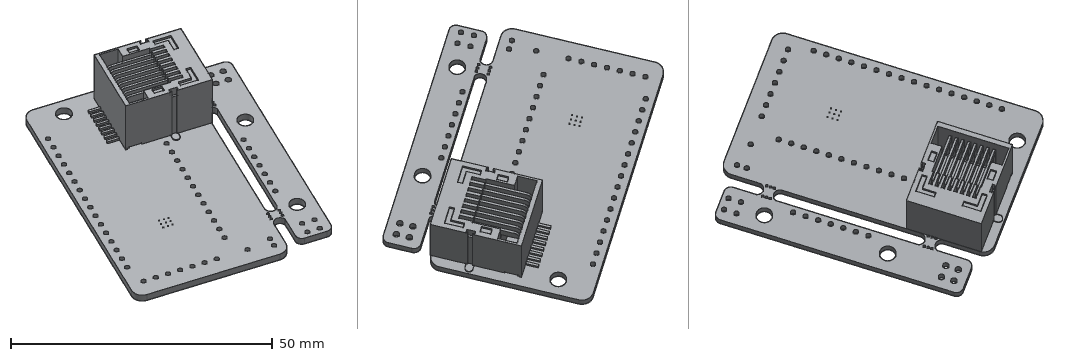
import cadquery as cq
import math

BOARD_LENGTH = 54.9
BOARD_WIDTH = 32.2
BOARD_THICKNESS = 1.6
BOARD_CORNER_RADIUS = 2.25

STRIP_LEFT = 2.6
STRIP_RIGHT = 52.75
STRIP_FRONT = 34.7
STRIP_BACK = 42.15
STRIP_CORNER_RADIUS = 1.35

TAB_CENTERS_X = (11.85, 44.65)
TAB_WAIST = 2.15
TAB_SIDE_RADIUS = 1.25
TAB_HOLE_DIAMETER = 0.5
TAB_HOLE_PITCH = 0.75
TAB_HOLES_PER_ROW = 3
TAB_HOLE_INSET = 0.05

MOUNT_HOLE_DIAMETER = 3.2
MOUNT_HOLES = [(18.7, 38.45), (43.75, 38.45), (3.35, 7.25)]
LARGE_PAD_DIAMETER = 1.2
PAD_DIAMETER = 1.0
VIA_DIAMETER = 0.2
VIA_PITCH = 1.0
VIAS_PER_SIDE = 3
VIA_GRID_CENTER = (38.3, 13.4)
STRIP_PADS_Y = (37.2, 39.8)
LEFT_STRIP_PADS_X = (4.85, 7.35)
RIGHT_STRIP_PADS_X = (48.9, 51.45)
STRIP_ROW_FIRST_X = 23.5
STRIP_ROW_LAST_X = 38.75
STRIP_ROW_Y = 36.0
ROW_LAST_X = 46.55
MIDDLE_ROW_FIRST_X = 18.6
MIDDLE_ROW_Y = 22.05
FRONT_ROW_FIRST_X = 8.4
FRONT_ROW_Y = 1.75
COLUMN_X = 51.3
COLUMN_FIRST_Y = 3.15
COLUMN_LAST_Y = 18.4
SINGLE_PAD = (COLUMN_X, 24.8)
CORNER_PADS = [(50.3, 29.9), (52.25, 29.9)]
STRIP_ROW_COUNT = 7
MIDDLE_ROW_COUNT = 12
FRONT_ROW_COUNT = 16
COLUMN_COUNT = 7

JACK_LENGTH_X = 15.2
JACK_LENGTH_Y = 18.1
JACK_CENTER_X = 9.5
JACK_FRONT = 14.15
JACK_TOP = 13.4
STANDOFF = 0.2
JACK_BOTTOM = BOARD_THICKNESS + STANDOFF

FRONT_FOOT_DEPTH = 0.4
FOOT_NOTCH_FRONT = 0.75
FOOT_NOTCH_BACK = 3.35

WELL_WIDTH = 14.4
WELL_FRONT = 1.0
WELL_BACK = 4.85
WELL_DEPTH = 10.45
RECESS_WIDTH = 10.05
RECESS_BACK = 10.5
RECESS_DEPTH = 3.3

POCKET_DEPTH = 0.5
POCKET_OUTER_X = 6.6
ANGLE_BACK = 15.6
ANGLE_LEG = 3.75
ANGLE_BAND = 1.0
BLOCK_WIDTH = 1.15
BLOCK_FRONT = 6.4
BLOCK_LENGTH = 2.1

CONTACT_COUNT = 8
CONTACT_SPAN = 8.9
CONTACT_WIDTH = 0.5
CONTACT_FOOT_HEIGHT = 0.5
CONTACT_LEG_THICKNESS = 0.2
CONTACT_BAR_HEIGHT = 1.65
CONTACT_BEND_RADIUS = 1.0
CONTACT_TOP_DROP = 1.0
CONTACT_FRONT = 1.25
CONTACT_BACK = 11.85
CONTACT_FOOT_REACH = 2.5
SLOT_WIDTH = 0.65
SLOT_BACK = 13.25

CLIP_CENTER = 10.2
CLIP_WIDTH = 1.7
CLIP_THICKNESS = 0.4
CLIP_TOP_DROP = 1.65
CLIP_PAD_REACH = 1.55
CLIP_PAD_WIDTH = 1.6
CLIP_LIP = 0.245
CLIP_CLEARANCE = 0.15
CLIP_MOUTH_WIDTH = 1.0


def evenly_spaced(first, last, count):
    step = (last - first) / (count - 1)
    return [first + i * step for i in range(count)]


def centered_row(center, pitch, count):
    half_span = pitch * (count - 1) / 2
    return evenly_spaced(center - half_span, center + half_span, count)


def grid(xs, ys):
    return [(x, y) for x in xs for y in ys]


def block(x0, x1, y0, y1, z0, z1):
    return cq.Workplane("XY").box(x1 - x0, y1 - y0, z1 - z0, centered=False).translate((x0, y0, z0))


def drills(points, diameter):
    return cq.Workplane("XY").pushPoints(points).circle(diameter / 2).extrude(BOARD_THICKNESS)


def make_tab(center_x):
    """Bridge with round concave sides that run tangent into the board edge."""
    gap = STRIP_FRONT - BOARD_WIDTH
    board_root = TAB_WAIST / 2 + TAB_SIDE_RADIUS
    center_to_strip = gap - TAB_SIDE_RADIUS
    strip_root = board_root - math.sqrt(TAB_SIDE_RADIUS**2 - center_to_strip**2)
    return (
        cq.Workplane("XY")
        .moveTo(-board_root, 0)
        .lineTo(board_root, 0)
        .radiusArc((strip_root, gap), TAB_SIDE_RADIUS)
        .lineTo(-strip_root, gap)
        .radiusArc((-board_root, 0), TAB_SIDE_RADIUS)
        .close()
        .extrude(BOARD_THICKNESS)
        .translate((center_x, BOARD_WIDTH, 0))
    )


def make_board():
    board = block(0, BOARD_LENGTH, 0, BOARD_WIDTH, 0, BOARD_THICKNESS)
    board = board.edges("|Z").fillet(BOARD_CORNER_RADIUS)
    strip = block(STRIP_LEFT, STRIP_RIGHT, STRIP_FRONT, STRIP_BACK, 0, BOARD_THICKNESS)
    board = board.union(strip.edges("|Z").fillet(STRIP_CORNER_RADIUS))
    for center_x in TAB_CENTERS_X:
        board = board.union(make_tab(center_x))

    tab_rows_y = (BOARD_WIDTH + TAB_HOLE_INSET, STRIP_FRONT - TAB_HOLE_INSET)
    for center_x in TAB_CENTERS_X:
        tab_holes = grid(centered_row(center_x, TAB_HOLE_PITCH, TAB_HOLES_PER_ROW), tab_rows_y)
        board = board.cut(drills(tab_holes, TAB_HOLE_DIAMETER))

    pads = grid(RIGHT_STRIP_PADS_X, STRIP_PADS_Y)
    pads += grid(evenly_spaced(STRIP_ROW_FIRST_X, STRIP_ROW_LAST_X, STRIP_ROW_COUNT), [STRIP_ROW_Y])
    pads += grid(evenly_spaced(MIDDLE_ROW_FIRST_X, ROW_LAST_X, MIDDLE_ROW_COUNT), [MIDDLE_ROW_Y])
    pads += grid(evenly_spaced(FRONT_ROW_FIRST_X, ROW_LAST_X, FRONT_ROW_COUNT), [FRONT_ROW_Y])
    pads += grid([COLUMN_X], evenly_spaced(COLUMN_FIRST_Y, COLUMN_LAST_Y, COLUMN_COUNT))
    pads += [SINGLE_PAD] + CORNER_PADS
    via_x, via_y = VIA_GRID_CENTER
    vias = grid(centered_row(via_x, VIA_PITCH, VIAS_PER_SIDE), centered_row(via_y, VIA_PITCH, VIAS_PER_SIDE))

    board = board.cut(drills(pads, PAD_DIAMETER))
    board = board.cut(drills(grid(LEFT_STRIP_PADS_X, STRIP_PADS_Y), LARGE_PAD_DIAMETER))
    board = board.cut(drills(MOUNT_HOLES, MOUNT_HOLE_DIAMETER))
    return board.cut(drills(vias, VIA_DIAMETER))


def mirrored(shape):
    return shape.union(shape.mirror("YZ"))


def make_shell():
    half = JACK_LENGTH_X / 2
    shell = block(-half, half, 0, JACK_LENGTH_Y, JACK_BOTTOM, JACK_TOP)
    foot = block(-half, half, 0, FRONT_FOOT_DEPTH, BOARD_THICKNESS, JACK_BOTTOM)
    notch = block(-half, half, FOOT_NOTCH_FRONT, FOOT_NOTCH_BACK,
                  BOARD_THICKNESS, BOARD_THICKNESS + CONTACT_FOOT_HEIGHT)
    return shell.union(foot).cut(notch)


def make_plug_opening():
    well = block(-WELL_WIDTH / 2, WELL_WIDTH / 2, WELL_FRONT, WELL_BACK, JACK_TOP - WELL_DEPTH, JACK_TOP)
    recess = block(-RECESS_WIDTH / 2, RECESS_WIDTH / 2, WELL_BACK, RECESS_BACK,
                   JACK_TOP - RECESS_DEPTH, JACK_TOP)
    return well.union(recess)


def make_top_pockets():
    floor = JACK_TOP - POCKET_DEPTH
    outer = -POCKET_OUTER_X
    cross_leg = block(outer, outer + ANGLE_LEG, ANGLE_BACK - ANGLE_BAND, ANGLE_BACK, floor, JACK_TOP)
    side_leg = block(outer, outer + ANGLE_BAND, ANGLE_BACK - ANGLE_LEG, ANGLE_BACK, floor, JACK_TOP)
    rectangle = block(outer, outer + BLOCK_WIDTH, BLOCK_FRONT, BLOCK_FRONT + BLOCK_LENGTH, floor, JACK_TOP)
    return mirrored(cross_leg.union(side_leg).union(rectangle))


def make_contact_slot(x):
    floor = JACK_TOP - CONTACT_TOP_DROP - CONTACT_BAR_HEIGHT
    return block(x - SLOT_WIDTH / 2, x + SLOT_WIDTH / 2, RECESS_BACK, SLOT_BACK, floor, JACK_TOP)


def make_contact(x):
    """Deep bar over the plug opening, rounded into a thin leg along the front wall, with a flat foot."""
    top = JACK_TOP - CONTACT_TOP_DROP
    foot_top = BOARD_THICKNESS + CONTACT_FOOT_HEIGHT
    leg_back = CONTACT_FRONT + CONTACT_LEG_THICKNESS
    bar_bottom = top - CONTACT_BAR_HEIGHT
    bend_y = CONTACT_FRONT + CONTACT_BEND_RADIUS
    bend_z = top - CONTACT_BEND_RADIUS
    return (
        cq.Workplane("YZ")
        .moveTo(-CONTACT_FOOT_REACH, BOARD_THICKNESS)
        .lineTo(leg_back, BOARD_THICKNESS)
        .lineTo(leg_back, bar_bottom)
        .lineTo(CONTACT_BACK, bar_bottom)
        .lineTo(CONTACT_BACK, top)
        .lineTo(bend_y, top)
        .radiusArc((CONTACT_FRONT, bend_z), -CONTACT_BEND_RADIUS)
        .lineTo(CONTACT_FRONT, foot_top)
        .lineTo(-CONTACT_FOOT_REACH, foot_top)
        .close()
        .extrude(CONTACT_WIDTH / 2, both=True)
        .translate((x, 0, 0))
    )


def make_clip_slot():
    """T-shaped slot: a narrow mouth in the side face and a wider space behind it."""
    side = -JACK_LENGTH_X / 2
    inner = side + CLIP_LIP
    mouth = block(side, inner, CLIP_CENTER - CLIP_MOUTH_WIDTH / 2, CLIP_CENTER + CLIP_MOUTH_WIDTH / 2,
                  JACK_BOTTOM, JACK_TOP)
    space = block(inner, inner + CLIP_THICKNESS + CLIP_CLEARANCE,
                  CLIP_CENTER - CLIP_WIDTH / 2, CLIP_CENTER + CLIP_WIDTH / 2, JACK_BOTTOM, JACK_TOP)
    return mirrored(mouth.union(space))


def make_clip():
    """Upright plate in the slot with a round-ended solder pad on the board."""
    side = -JACK_LENGTH_X / 2
    plate_outer = side + CLIP_LIP
    plate_inner = plate_outer + CLIP_THICKNESS
    plate = block(plate_outer, plate_inner, CLIP_CENTER - CLIP_WIDTH / 2, CLIP_CENTER + CLIP_WIDTH / 2,
                  BOARD_THICKNESS, JACK_TOP - CLIP_TOP_DROP)
    pad_radius = CLIP_PAD_WIDTH / 2
    round_x = side - CLIP_PAD_REACH + pad_radius
    pad = block(round_x, plate_inner, CLIP_CENTER - pad_radius, CLIP_CENTER + pad_radius,
                BOARD_THICKNESS, JACK_BOTTOM)
    pad_end = cq.Workplane("XY").cylinder(STANDOFF, pad_radius, centered=(True, True, False))
    pad_end = pad_end.translate((round_x, CLIP_CENTER, BOARD_THICKNESS))
    return mirrored(plate.union(pad).union(pad_end))


def make_jack():
    jack = make_shell().cut(make_plug_opening()).cut(make_top_pockets()).cut(make_clip_slot())
    jack = jack.union(make_clip())
    for x in evenly_spaced(-CONTACT_SPAN / 2, CONTACT_SPAN / 2, CONTACT_COUNT):
        jack = jack.cut(make_contact_slot(x)).union(make_contact(x))
    return jack.translate((JACK_CENTER_X, JACK_FRONT, 0))


board = make_board()
jack = make_jack()
result = cq.Compound.makeCompound([board.val(), jack.val()])